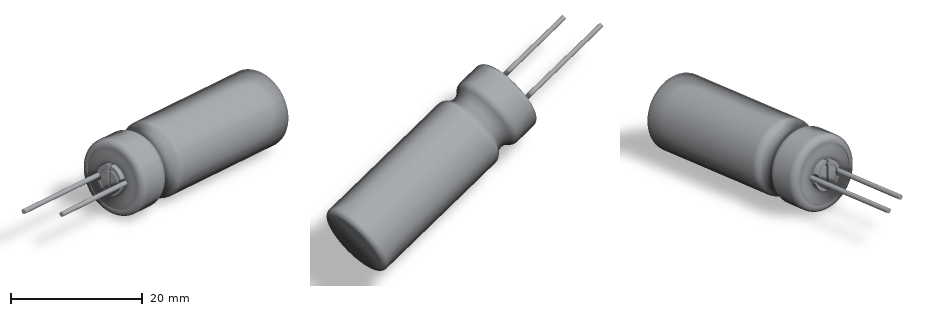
import cadquery as cq
import math


can_diameter = 12.5
can_radius = can_diameter / 2
top_y = 35.0
rim_y = 0.7
top_fillet = 0.85
rim_fillet = 1.0

groove_y = 7.7
groove_depth = 1.1
groove_radius = 1.9
shoulder_radius = 1.34

stripe_angle = 60.0

seal_radius = 5.08
seal_recess = 0.2
seal_thickness = 3.0
seal_face_y = rim_y + seal_recess
seal_back_y = seal_face_y + seal_thickness

standoff_radius = 2.5
slot_width = 0.5
ring_groove_outer = 2.0
ring_groove_inner = 1.65
ring_groove_depth = 0.2

lead_diameter = 0.8
lead_pitch = 5.0
lead_clearance_radius = lead_diameter
long_lead_length = 17.0
short_lead_length = 14.0
lead_ends = {-lead_pitch / 2: -long_lead_length, lead_pitch / 2: -short_lead_length}


def cylinder(radius, y_start, y_end, x=0.0):
    """Cylinder along Y between two Y stations."""
    plane = cq.Workplane("XZ", origin=(x, y_start, 0))
    return plane.circle(radius).extrude(y_start - y_end)


def fillet_middle(center_x, center_y, radius, y_sign):
    """Middle point of a convex corner fillet, at 45 degrees."""
    reach = radius * math.sqrt(0.5)
    return (center_x + reach, center_y + y_sign * reach)


def make_can_blank():
    """Whole can, stripe included, with the recess for the seal."""
    groove_floor = can_radius - groove_depth
    groove_center_x = groove_floor + groove_radius
    shoulder_x = can_radius - shoulder_radius

    center_gap = groove_radius + shoulder_radius
    shoulder_dy = math.sqrt(center_gap**2 - (groove_center_x - shoulder_x) ** 2)
    angle = math.atan2(shoulder_dy, groove_center_x - shoulder_x)
    tangent_x = groove_center_x - groove_radius * math.cos(angle)
    tangent_dy = groove_radius * math.sin(angle)
    middle_x = shoulder_x + shoulder_radius * math.cos(angle / 2)
    middle_dy = shoulder_dy - shoulder_radius * math.sin(angle / 2)

    rim_center = (can_radius - rim_fillet, rim_y + rim_fillet)
    top_center = (can_radius - top_fillet, top_y - top_fillet)
    profile = (
        cq.Workplane("XY")
        .moveTo(0, rim_y)
        .lineTo(rim_center[0], rim_y)
        .threePointArc(fillet_middle(*rim_center, rim_fillet, -1), (can_radius, rim_center[1]))
        .lineTo(can_radius, groove_y - shoulder_dy)
        .threePointArc((middle_x, groove_y - middle_dy), (tangent_x, groove_y - tangent_dy))
        .threePointArc((groove_floor, groove_y), (tangent_x, groove_y + tangent_dy))
        .threePointArc((middle_x, groove_y + middle_dy), (can_radius, groove_y + shoulder_dy))
        .lineTo(can_radius, top_center[1])
        .threePointArc(fillet_middle(*top_center, top_fillet, 1), (top_center[0], top_y))
        .lineTo(0, top_y)
        .close()
    )
    blank = profile.revolve(360, (0, 0, 0), (0, 1, 0))
    return blank.cut(cylinder(seal_radius, rim_y, seal_back_y))


def make_stripe_sector():
    """Triangular prism along Y that spans the stripe's angle, from the can axis outward past the wall."""
    reach = can_diameter
    half_width = reach * math.tan(math.radians(stripe_angle / 2))
    return (
        cq.Workplane("XZ", origin=(0, rim_y, 0))
        .polyline([(0, 0), (reach, -half_width), (reach, half_width)])
        .close()
        .extrude(rim_y - top_y)
    )


def make_seal():
    """Seal disc with a slotted standoff ring and a hole for each lead."""
    standoff = cylinder(standoff_radius, 0, seal_face_y)
    ring_groove = cylinder(ring_groove_outer, 0, ring_groove_depth).cut(
        cylinder(ring_groove_inner, 0, ring_groove_depth)
    )
    slot = cq.Workplane("XY").box(slot_width, seal_face_y, can_diameter).translate((0, seal_face_y / 2, 0))
    standoff = standoff.cut(ring_groove).cut(slot)
    for x in lead_ends:
        standoff = standoff.cut(cylinder(lead_clearance_radius, 0, seal_face_y, x))

    seal = cylinder(seal_radius, seal_face_y, seal_back_y).union(standoff)
    for x in lead_ends:
        seal = seal.cut(cylinder(lead_diameter / 2, 0, seal_back_y, x))
    return seal


def make_lead(x, end_y):
    """Round lead running from the back of the seal to its free end."""
    return cylinder(lead_diameter / 2, end_y, seal_back_y, x)


can_blank = make_can_blank()
stripe_sector = make_stripe_sector()
can = can_blank.cut(stripe_sector)
stripe = can_blank.intersect(stripe_sector)
seal = make_seal()
leads = [make_lead(x, end_y) for x, end_y in lead_ends.items()]

result = cq.Compound.makeCompound(
    [can.solids().val(), stripe.solids().val(), seal.solids().val(), *[lead.val() for lead in leads]]
)